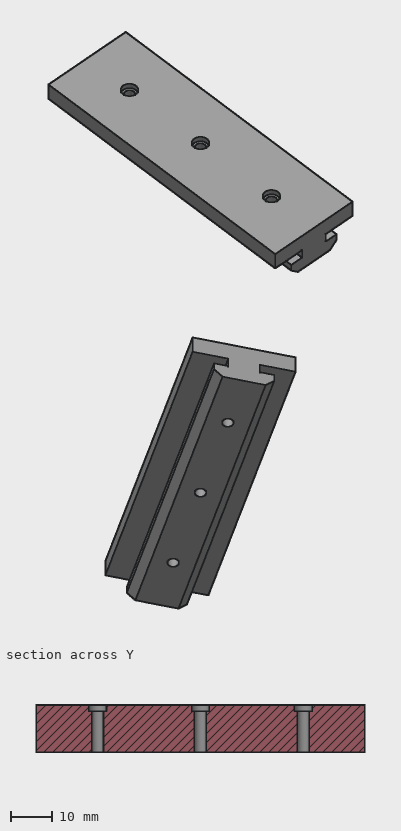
import cadquery as cq

length = 80.0
plate_width = 26.0
plate_thickness = 5.0
total_height = 11.5
neck_width = 8.0
foot_width = 15.2
foot_height = 4.0
foot_bottom_width = 10.9
foot_chamfer_height = 2.0
hole_diameter = 2.8
recess_diameter = 4.2
recess_depth = 1.5
hole_spacing = 25.0

plate_bottom = total_height - plate_thickness

half_section = [
    (0, 0),
    (foot_bottom_width / 2, 0),
    (foot_width / 2, foot_chamfer_height),
    (foot_width / 2, foot_height),
    (neck_width / 2, foot_height),
    (neck_width / 2, plate_bottom),
    (plate_width / 2, plate_bottom),
    (plate_width / 2, total_height),
    (0, total_height),
]

rail = (
    cq.Workplane("YZ", origin=(-length / 2, 0, 0))
    .polyline(half_section)
    .mirrorY()
    .extrude(length)
)

hole_centers = [(step * hole_spacing, 0) for step in (-1, 0, 1)]
result = (
    rail.faces(">Z")
    .workplane(origin=(0, 0, total_height))
    .pushPoints(hole_centers)
    .cboreHole(hole_diameter, recess_diameter, recess_depth)
)